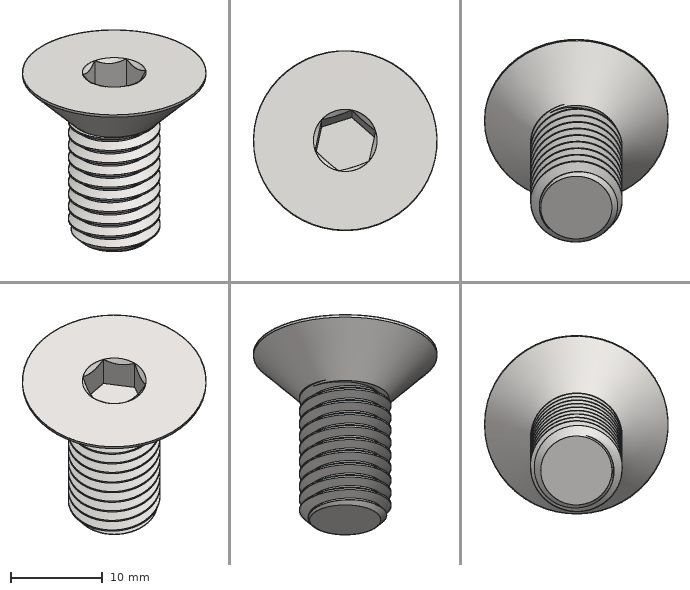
import cadquery as cq
import math

length = 20.0

head_diameter = 20.0
head_height = 5.5
rim_height = 0.3
head_radius = head_diameter / 2
head_base_z = length - head_height
head_base_radius = head_radius - (head_height - rim_height)

thread_diameter = 10.0
pitch = 1.5
crest_width = pitch / 8
root_width = pitch / 8
flank_angle = math.radians(60 / 2)
thread_radius = thread_diameter / 2
thread_depth = (pitch - crest_width - root_width) / 2 / math.tan(flank_angle)
root_radius = thread_radius - thread_depth
root_height_on_x_axis = 0.47
groove_lead_in_turns = 2

tip_chamfer = 1.125

socket_width = 6.0
socket_depth = 3.75
socket_turn = 30
socket_cone_slope = math.radians(45)
socket_corner_radius = socket_width / math.sqrt(3)

groove_overrun = 0.1


def make_head():
    profile = (
        cq.Workplane("XZ")
        .moveTo(0, head_base_z)
        .lineTo(head_base_radius, head_base_z)
        .lineTo(head_radius, length - rim_height)
        .lineTo(head_radius, length)
        .lineTo(0, length)
        .close()
    )
    return profile.revolve(360, (0, 0, 0), (0, 1, 0))


def make_thread_groove(start_z, turns):
    """Helical cutter whose section is the gap between two thread ridges."""
    outer_radius = thread_radius + groove_overrun
    root_half = root_width / 2
    outer_half = root_half + (outer_radius - root_radius) * math.tan(flank_angle)
    helix_height = turns * pitch
    section = [
        cq.Vector(root_radius, 0, start_z - root_half),
        cq.Vector(outer_radius, 0, start_z - outer_half),
        cq.Vector(outer_radius, 0, start_z + outer_half),
        cq.Vector(root_radius, 0, start_z + root_half),
    ]
    helices = []
    for corner in section:
        helix = cq.Wire.makeHelix(pitch, helix_height, corner.x)
        helices.append(helix.translate(cq.Vector(0, 0, corner.z)))
    faces = []
    for helix, next_helix in zip(helices, helices[1:] + helices[:1]):
        faces.append(cq.Face.makeRuledSurface(helix, next_helix))
    start_cap = cq.Face.makeFromWires(cq.Wire.makePolygon(section, close=True))
    end_cap = start_cap.translate(cq.Vector(0, 0, helix_height))
    shell = cq.Shell.makeShell(faces + [start_cap, end_cap])
    return cq.Workplane(cq.Solid.makeSolid(shell))


def make_shank():
    shank_top = head_base_z + pitch
    shank = cq.Workplane("XY").circle(thread_radius).extrude(shank_top)
    start_z = root_height_on_x_axis - groove_lead_in_turns * pitch
    turns = math.ceil((shank_top - start_z) / pitch)
    threaded = shank.cut(make_thread_groove(start_z, turns))
    chamfered_envelope = shank.faces("<Z").chamfer(tip_chamfer)
    return threaded.intersect(chamfered_envelope)


def make_socket():
    hexagon = (
        cq.Workplane("XY", origin=(0, 0, length))
        .polygon(6, 2 * socket_corner_radius)
        .extrude(-socket_depth)
        .rotate((0, 0, 0), (0, 0, 1), socket_turn)
    )
    cone_depth = socket_corner_radius * math.tan(socket_cone_slope)
    cone = (
        cq.Workplane("XZ")
        .moveTo(0, length - cone_depth)
        .lineTo(socket_corner_radius, length)
        .lineTo(0, length)
        .close()
        .revolve(360, (0, 0, 0), (0, 1, 0))
    )
    return hexagon.union(cone)


result = make_shank().union(make_head()).cut(make_socket())